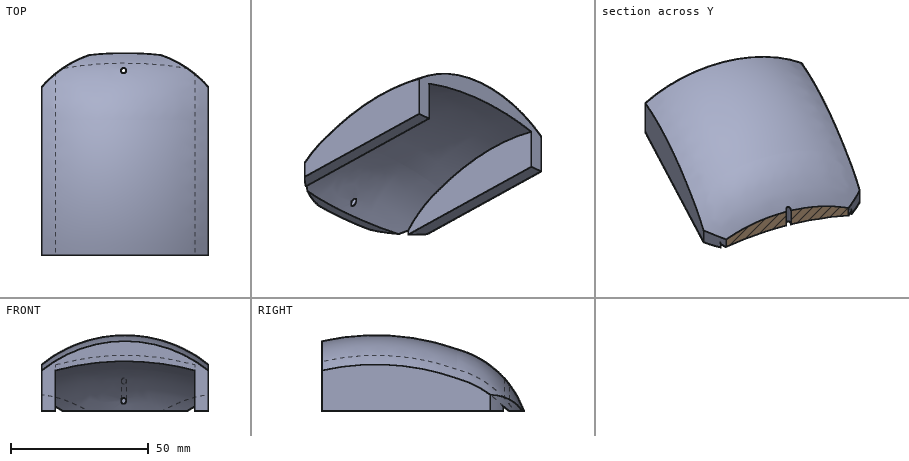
import cadquery as cq

width = 60.45
length = 73.45
wall = 4.9
roof = 7.3

front_height = 25.4
peak_y = 19.45
peak_height = 27.6
seam_y = 49.05
seam_height = 22.55
rear_mid_y = 63.15
rear_mid_height = 15.0

outer_drop = 10.65
inner_drop = 3.4

corner_radius = 40.0
corner_center_y = 34.9

hole_diameter = 1.8
hole_x = -0.5
hole_y = 67.05

clearance = 2 * peak_height


def crown_line(offset):
    """Crown line of the roof, lowered by the given vertical offset."""
    return (
        cq.Workplane("YZ")
        .moveTo(0, front_height - offset)
        .threePointArc((peak_y, peak_height - offset), (seam_y, seam_height - offset))
        .threePointArc((rear_mid_y, rear_mid_height - offset), (length, -offset))
    )


def arched_block(block_width, drop, offset):
    """Solid under an arched roof: one upright section carried along the crown line."""
    half = block_width / 2
    top = front_height - offset
    section = (
        cq.Workplane("XZ")
        .moveTo(-half, -clearance)
        .lineTo(-half, top - drop)
        .threePointArc((0, top), (half, top - drop))
        .lineTo(half, -clearance)
        .close()
    )
    return section.sweep(crown_line(offset), normal=cq.Vector(0, 1, 0))


def footprint():
    """Plan outline: straight sides, with the rear corners trimmed by an arc."""
    side_block = cq.Workplane("XY").box(
        width, length, clearance, centered=(True, False, False)
    )
    front_block = cq.Workplane("XY").box(
        width, corner_center_y, clearance, centered=(True, False, False)
    )
    rear_round = (
        cq.Workplane("XY")
        .center(0, corner_center_y)
        .circle(corner_radius)
        .extrude(clearance)
    )
    return side_block.intersect(rear_round).union(front_block)


shell = footprint().intersect(arched_block(width, outer_drop, 0))
cavity = arched_block(width - 2 * wall, inner_drop, roof)
hole = (
    cq.Workplane("XY")
    .center(hole_x, hole_y)
    .circle(hole_diameter / 2)
    .extrude(clearance)
)

result = shell.cut(cavity).cut(hole)